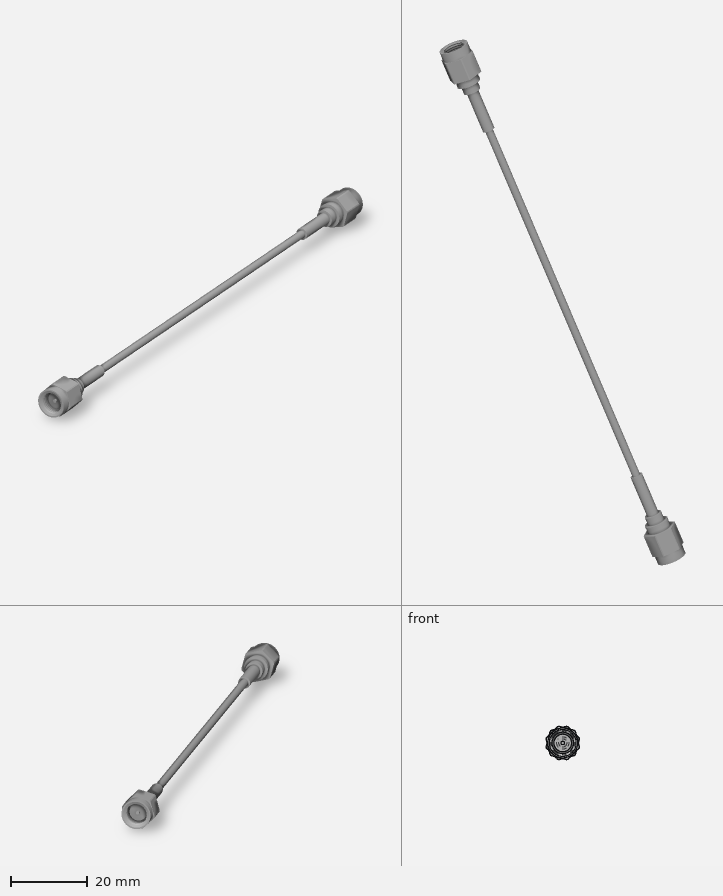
import cadquery as cq
import math

total_length = 152.4
half_length = total_length / 2

nut_front = 2.6
nut_rear = 8.7
flange_front = 10.4
flange_rear = 10.8
ferrule_end = 13.1
sleeve_end = 24.7

collar_diameter = 7.8
body_diameter = 6.2
flange_diameter = 6.4
ferrule_diameter = 4.5
sleeve_diameter = 3.2
cable_diameter = 2.1

nut_turn = -45.0
nut_sides = 6
nut_diameter = 9.0
nut_corner_land = 0.38
nut_half_side_angle = math.pi / nut_sides
nut_half_land_angle = math.asin(nut_corner_land / nut_diameter)
nut_flat_width = nut_diameter * math.cos(nut_half_side_angle - nut_half_land_angle)
nut_hexagon_diameter = nut_flat_width / math.cos(nut_half_side_angle)

socket_mouth_diameter = 7.0
socket_mouth_depth = 0.3
thread_crest_diameter = 5.6
thread_root_diameter = 6.4
thread_pitch = 0.6
thread_count = 5
socket_depth = 4.5
core_diameter = 4.5
core_setback = 2.6
pin_diameter = 0.9
pin_length = 0.8
pin_setback = core_setback - pin_length


def cylinder(diameter, start, end):
    """Round bar about the plug axis (Z) between two stations."""
    return cq.Workplane("XY").workplane(offset=start).circle(diameter / 2).extrude(end - start)


def cone(start_diameter, end_diameter, start, end):
    """Round taper about the plug axis (Z) between two stations."""
    base = cq.Vector(0, 0, start)
    axis = cq.Vector(0, 0, 1)
    return cq.Workplane(cq.Solid.makeCone(start_diameter / 2, end_diameter / 2, end - start, base, axis))


def coupling_nut():
    """Hexagon with its six corners turned down to a round bar."""
    hexagon = (
        cq.Workplane("XY")
        .workplane(offset=nut_front)
        .transformed(rotate=(0, 0, nut_turn))
        .polygon(nut_sides, nut_hexagon_diameter)
        .extrude(nut_rear - nut_front)
    )
    return hexagon.intersect(cylinder(nut_diameter, nut_front, nut_rear))


def thread_groove(start):
    """V-shaped ring that widens the socket from crest to root and back over one pitch."""
    middle = start + thread_pitch / 2
    end = start + thread_pitch
    opening = cone(thread_crest_diameter, thread_root_diameter, start, middle)
    closing = cone(thread_root_diameter, thread_crest_diameter, middle, end)
    return opening.union(closing)


def socket():
    """Bore with a countersunk mouth and a row of ring grooves for the thread."""
    bore = cylinder(thread_crest_diameter, 0, socket_depth)
    bore = bore.union(cone(socket_mouth_diameter, thread_crest_diameter, 0, socket_mouth_depth))
    for index in range(thread_count):
        bore = bore.union(thread_groove(socket_mouth_depth + index * thread_pitch))
    return bore


def plug():
    """Plug with its open tip at the origin and its half of the cable along +Z."""
    shell = (
        cylinder(collar_diameter, 0, nut_front)
        .union(coupling_nut())
        .union(cylinder(body_diameter, nut_rear, flange_front))
        .union(cylinder(flange_diameter, flange_front, flange_rear))
        .union(cylinder(ferrule_diameter, flange_rear, ferrule_end))
        .union(cylinder(sleeve_diameter, ferrule_end, sleeve_end))
        .union(cylinder(cable_diameter, sleeve_end, half_length))
    )
    core = cylinder(core_diameter, core_setback, socket_depth)
    pin = cylinder(pin_diameter, pin_setback, socket_depth)
    return shell.cut(socket()).union(core).union(pin)


front_plug = plug().rotate((0, 0, 0), (1, 0, 0), -90).translate((0, -half_length, 0))
rear_plug = front_plug.rotate((0, 0, 0), (0, 0, 1), 180)
result = front_plug.union(rear_plug)